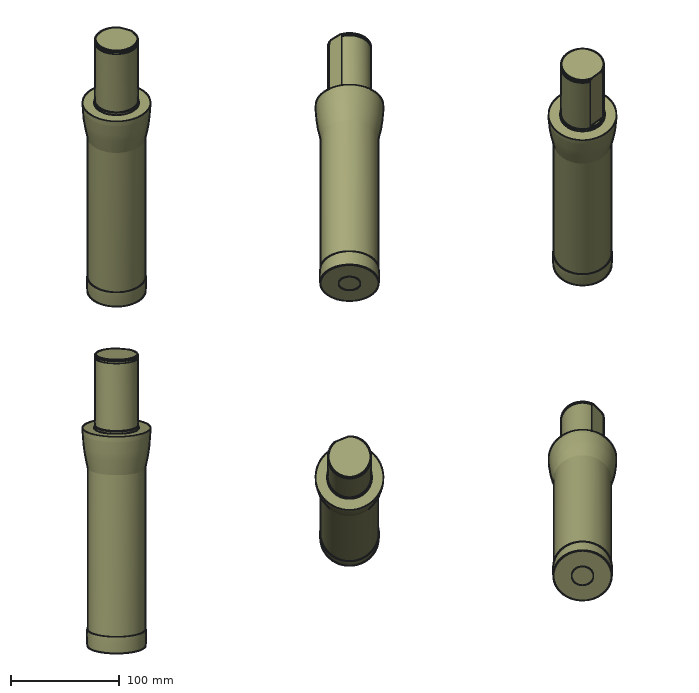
import cadquery as cq

total_height = 279.0
collar_top = 208.7
collar_band_height = 5.0
collar_taper_height = 33.0

collar_diameter = 62.5
tube_diameter = 53.3
flare_bulge = 0.8
cap_height = 16.7
cap_diameter = 54.0
cap_bulge = 0.42
cap_chamfer = 0.5
boss_diameter = 20.0
boss_height = 0.5
socket_rim_chamfer = 0.8

shaft_diameter = 40.0
groove_diameter = 39.5
groove_offset = 1.7
groove_width = 0.8
tip_height = 3.5
tip_groove_width = 2.0
tip_chamfer_height = 1.0
tip_chamfer_width = 0.8
flat_depth = 1.7
flat_start = 213.5

collar_radius = collar_diameter / 2
tube_radius = tube_diameter / 2
cap_radius = cap_diameter / 2
boss_radius = boss_diameter / 2
shaft_radius = shaft_diameter / 2
groove_radius = groove_diameter / 2
band_bottom = collar_top - collar_band_height
taper_bottom = band_bottom - collar_taper_height
groove_bottom = collar_top + groove_offset
groove_top = groove_bottom + groove_width
chamfer_bottom = total_height - tip_chamfer_height
tip_groove_bottom = total_height - tip_height
tip_groove_top = tip_groove_bottom + tip_groove_width


def make_housing():
    """Tube with a bulged end cap and a flared collar, bored for the shaft."""
    cap_middle = (cap_height + boss_height + cap_chamfer) / 2
    flare_middle = (
        (collar_radius + tube_radius) / 2 + flare_bulge,
        (band_bottom + taper_bottom) / 2,
    )
    return (
        cq.Workplane("XZ")
        .lineTo(boss_radius, 0)
        .lineTo(boss_radius, boss_height)
        .lineTo(cap_radius - cap_chamfer, boss_height)
        .lineTo(cap_radius, boss_height + cap_chamfer)
        .threePointArc((cap_radius + cap_bulge, cap_middle), (cap_radius, cap_height))
        .lineTo(tube_radius, cap_height)
        .lineTo(tube_radius, taper_bottom)
        .threePointArc(flare_middle, (collar_radius, band_bottom))
        .lineTo(collar_radius, collar_top)
        .lineTo(shaft_radius + socket_rim_chamfer, collar_top)
        .lineTo(shaft_radius, collar_top - socket_rim_chamfer)
        .lineTo(shaft_radius, taper_bottom)
        .lineTo(0, taper_bottom)
        .close()
        .revolve(360, (0, 0), (0, 1))
    )


def make_shaft():
    """Shaft seated in the collar, with a long flat on its +Y side, run out at 45 degrees."""
    turned = (
        cq.Workplane("XZ")
        .moveTo(0, taper_bottom)
        .lineTo(shaft_radius, taper_bottom)
        .lineTo(shaft_radius, groove_bottom)
        .lineTo(groove_radius, groove_bottom)
        .lineTo(groove_radius, groove_top)
        .lineTo(shaft_radius, groove_top)
        .lineTo(shaft_radius, tip_groove_bottom)
        .lineTo(groove_radius, tip_groove_bottom)
        .lineTo(groove_radius, tip_groove_top)
        .lineTo(shaft_radius, tip_groove_top)
        .lineTo(shaft_radius, chamfer_bottom)
        .lineTo(shaft_radius - tip_chamfer_width, total_height)
        .lineTo(0, total_height)
        .close()
        .revolve(360, (0, 0), (0, 1))
    )
    flat_y = shaft_radius - flat_depth
    cutter_y = flat_y + 2 * flat_depth
    flat_cutter = (
        cq.Workplane("YZ")
        .moveTo(flat_y, total_height)
        .lineTo(flat_y, flat_start)
        .lineTo(cutter_y, flat_start - 2 * flat_depth)
        .lineTo(cutter_y, total_height)
        .close()
        .extrude(shaft_radius, both=True)
    )
    return turned.cut(flat_cutter)


housing = make_housing()
shaft = make_shaft()
result = cq.Compound.makeCompound([housing.val(), shaft.val()])